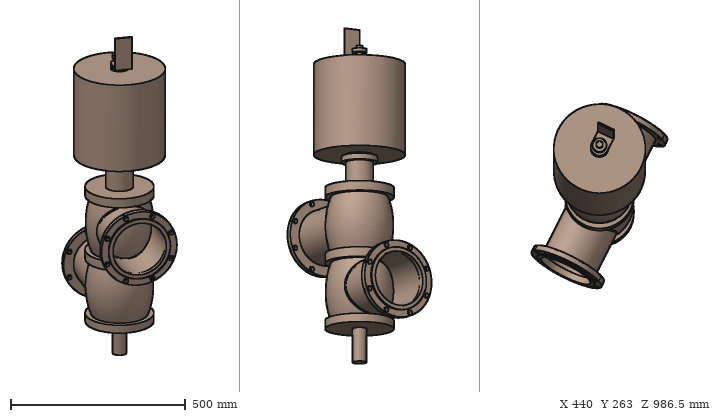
import cadquery as cq

total_height = 986.5
total_length = 440.0

stem_bottom = 0.0
bottom_flange_bottom = 99.0
bottom_flange_top = 123.0
middle_flange_bottom = 291.0
middle_flange_top = 319.0
top_flange_bottom = 485.0
top_flange_top = 513.0
collar_bottom = 587.0
collar_top = 604.0
actuator_bottom = 610.0
actuator_top = 876.0
seat_top = 883.0
bracket_bottom = 889.0
nut_bottom = 910.0
nut_top = 920.0
bolt_top = 929.0

stem_diameter = 40.0
chamber_flange_diameter = 198.0
chamber_diameter = 196.0
chamber_end_diameter = 166.0
neck_diameter = 80.0
collar_diameter = 105.0
actuator_diameter = 263.0
seat_diameter = 50.0

pipe_diameter = 165.0
bore_diameter = 159.0
port_flange_diameter = 225.0
port_flange_thickness = 17.0
raised_face_diameter = 183.0
raised_face_thickness = 5.0
bolt_hole_diameter = 14.0
bolt_circle_diameter = 206.0
bolt_hole_count = 8
lower_port_height = (bottom_flange_top + middle_flange_bottom) / 2
upper_port_height = (middle_flange_top + top_flange_bottom) / 2
port_reach = total_length / 2
flange_outer_face = port_reach - raised_face_thickness

shank_diameter = 16.0
nut_diameter = 40.0
bolt_end_diameter = 20.0
bracket_thickness = 5.0
bracket_reach = 44.0


def disc(diameter, bottom, top):
    """Vertical cylinder on the central axis."""
    return cq.Workplane("XY").workplane(offset=bottom).circle(diameter / 2).extrude(top - bottom)


def rod(diameter, start, end, height):
    """Cylinder along +X between two distances from the central axis."""
    return (
        cq.Workplane("YZ", origin=(start, 0, height))
        .circle(diameter / 2)
        .extrude(end - start)
    )


def make_chamber(bottom, top):
    """Solid barrel whose side bulges in an arc between two flanges."""
    end_radius = chamber_end_diameter / 2
    return (
        cq.Workplane("XZ")
        .moveTo(0, bottom)
        .lineTo(end_radius, bottom)
        .threePointArc((chamber_diameter / 2, (bottom + top) / 2), (end_radius, top))
        .lineTo(0, top)
        .close()
        .revolve(360, (0, 0, 0), (0, 1, 0))
    )


def make_port(height, chamber):
    """Flanged pipe along +X, bored down to the chamber surface."""
    flange_inner_face = flange_outer_face - port_flange_thickness
    first_hole_angle = 180 / bolt_hole_count
    bolt_holes = (
        cq.Workplane("YZ", origin=(flange_inner_face, 0, height))
        .polarArray(bolt_circle_diameter / 2, first_hole_angle, 360, bolt_hole_count)
        .circle(bolt_hole_diameter / 2)
        .extrude(port_flange_thickness)
    )
    return (
        rod(pipe_diameter, 0, port_reach, height)
        .union(rod(port_flange_diameter, flange_inner_face, flange_outer_face, height))
        .union(rod(raised_face_diameter, flange_outer_face, port_reach, height))
        .cut(bolt_holes)
        .cut(rod(bore_diameter, 0, port_reach, height))
        .union(chamber)
    )


def make_valve():
    """Double-chamber valve with its stem, neck and actuator cylinder."""
    upper_chamber = make_chamber(middle_flange_top, top_flange_bottom)
    lower_chamber = make_chamber(bottom_flange_top, middle_flange_bottom)
    upper_port = make_port(upper_port_height, upper_chamber)
    lower_port = make_port(lower_port_height, lower_chamber).rotate((0, 0, 0), (0, 0, 1), 180)
    return (
        upper_port
        .union(disc(chamber_flange_diameter, middle_flange_bottom, middle_flange_top))
        .union(lower_port)
        .union(disc(chamber_flange_diameter, bottom_flange_bottom, bottom_flange_top))
        .union(disc(chamber_flange_diameter, top_flange_bottom, top_flange_top))
        .union(disc(stem_diameter, stem_bottom, bottom_flange_bottom))
        .union(disc(neck_diameter, top_flange_top, actuator_bottom))
        .union(disc(collar_diameter, collar_bottom, collar_top))
        .union(disc(actuator_diameter, actuator_bottom, actuator_top))
        .union(disc(seat_diameter, actuator_top, seat_top))
    )


def make_bracket():
    """Angle plate with a round end on the axis and an upright leg toward +X."""
    bracket_top = bracket_bottom + bracket_thickness
    foot = cq.Workplane("XY").box(
        bracket_reach, seat_diameter, bracket_thickness, centered=(False, True, False)
    ).translate((0, 0, bracket_bottom))
    upright = cq.Workplane("XY").box(
        bracket_thickness, seat_diameter, total_height - bracket_bottom, centered=(False, True, False)
    ).translate((bracket_reach - bracket_thickness, 0, bracket_bottom))
    return foot.union(disc(seat_diameter, bracket_bottom, bracket_top)).union(upright)


def make_indicator():
    """Position indicator: base disc, bracket, shank, nut and bolt end."""
    return (
        disc(seat_diameter, seat_top, bracket_bottom)
        .union(make_bracket())
        .union(disc(shank_diameter, bracket_bottom, nut_bottom))
        .union(disc(nut_diameter, nut_bottom, nut_top))
        .union(disc(bolt_end_diameter, nut_top, bolt_top))
    )


valve = make_valve()
indicator = make_indicator()

result = cq.Compound.makeCompound([valve.val(), indicator.val()])